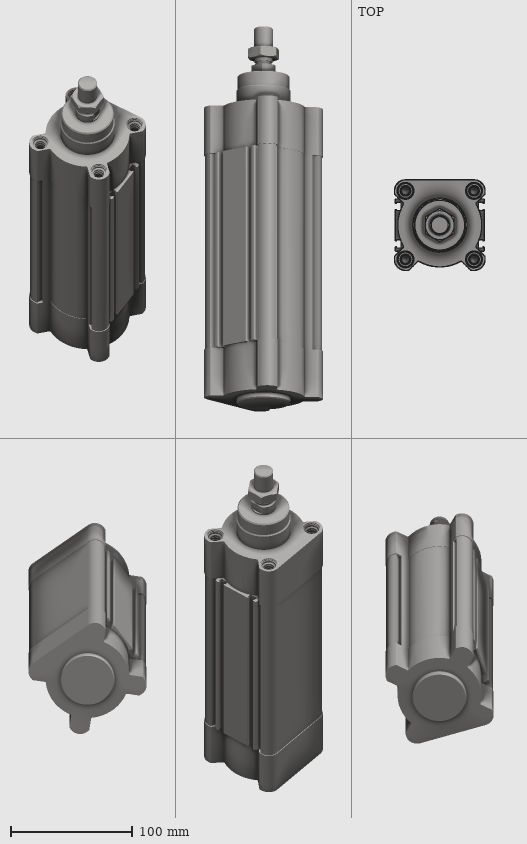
import cadquery as cq
import math

total_height = 318.0
base_boss_height = 4.5
cap_length = 40.5
lower_cap_top = base_boss_height + cap_length
cap_top = 250.0
upper_cap_bottom = cap_top - cap_length
flange_top = 265.5
collar_top = 277.5

cap_half_width = 37.5
barrel_half_width = 37.0
cap_core_radius = 34.7
barrel_core_radius = 34.5
screw_offset = 28.3
flank_step = 11.8
cap_corner = cap_half_width - flank_step
cap_corner_round = 1.5
cap_root_round = 1.0
barrel_root_round = 1.5

groove_start = 22.3
groove_floor = (24.5, 32.0)
groove_end = 26.5

rail_outer_edge = 21.5
slot_mouth_inner_edge = 13.0
slot_mouth_width = 4.8
slot_centre = slot_mouth_inner_edge + slot_mouth_width / 2
slot_width = 6.7
slot_floor = 32.0
slot_lip = 1.3
rail_round = 1.0

boss_diameter = 45.0
boss_chamfer = 1.0
collar_diameter = 43.0
collar_chamfer = 1.0

screw_steps = [(14.0, 1.0), (13.0, 2.0), (12.0, 3.8), (9.0, 5.7), (8.0, 7.5), (6.7, 16.0)]
drill_point_angle = 118

rod_diameter = 20.0
rod_flats = 17.0
flats_bottom = 278.5
shoulder_top = 286.0
undercut_diameter = 13.0
undercut_bottom = 287.0
undercut_top = 289.0
relief_diameter = 15.0
thread_diameter = 16.0
thread_chamfer = 1.0
nut_bottom = 292.0
nut_height = 8.5
nut_flats = 24.0
nut_face_angle = 30


def cylinder(diameter, bottom, top):
    return cq.Workplane().workplane(offset=bottom).circle(diameter / 2).extrude(top - bottom)


def mirrored_spots(x, y):
    """The spot and its mirror images about the X and Y axes."""
    return [(sx * x, sy * y) for sx in (-1, 1) for sy in (-1, 1)]


def round_upright_edges(body, spots, radius):
    """Fillet the vertical edges that stand at the given XY spots."""
    reach = 0.15
    low = -total_height
    high = total_height
    selector = None
    for x, y in spots:
        near = cq.selectors.BoxSelector((x - reach, y - reach, low), (x + reach, y + reach, high))
        selector = near if selector is None else selector + near
    return body.edges(selector).edges("|Z").fillet(radius)


def corner_lobe(flank, half_width, length):
    """One lobe from the centre to the (-X, -Y) screw; flank lists its lower side outward."""
    arc_middle = -screw_offset - (half_width - screw_offset) * math.sqrt(0.5)
    other_flank = [(y, x) for x, y in reversed(flank)]
    return (
        cq.Workplane().moveTo(0, 0)
        .polyline(flank, includeCurrent=True)
        .lineTo(-screw_offset, -half_width)
        .threePointArc((arc_middle, arc_middle), (-half_width, -screw_offset))
        .polyline(other_flank, includeCurrent=True)
        .close().extrude(length)
    )


def lobed_body(flank, half_width, core_radius, root_round, length):
    """Round core with four corner lobes and rounded roots between them."""
    lobe = corner_lobe(flank, half_width, length)
    pair = lobe.union(lobe.mirror("YZ"))
    body = cylinder(2 * core_radius, 0, length).union(pair).union(pair.mirror("XZ"))
    root = (math.sqrt(2 * core_radius**2 - flank_step**2) - flank_step) / 2
    roots = mirrored_spots(root, root + flank_step) + mirrored_spots(root + flank_step, root)
    return round_upright_edges(body, roots, root_round)


def flat_back(half_width, length):
    """Filling that makes the +Y side flat between its two screws."""
    return cq.Workplane().box(2 * screw_offset, half_width, length, centered=(True, False, False))


def make_cap():
    flank = [(0, -flank_step), (-cap_corner, -cap_half_width)]
    cap = lobed_body(flank, cap_half_width, cap_core_radius, cap_root_round, cap_length)
    corners = mirrored_spots(cap_corner, cap_half_width) + mirrored_spots(cap_half_width, cap_corner)
    cap = round_upright_edges(cap, corners, cap_corner_round)
    return cap.union(flat_back(cap_half_width, cap_length))


def make_barrel():
    length = upper_cap_bottom - lower_cap_top
    flank = [
        (0, -flank_step),
        (-groove_start, -groove_start - flank_step),
        (-groove_floor[0], -groove_floor[1]),
        (-groove_end, -barrel_half_width),
    ]
    barrel = lobed_body(flank, barrel_half_width, barrel_core_radius, barrel_root_round, length)
    barrel = barrel.union(flat_back(barrel_half_width, length))
    rails = cq.Workplane().box(
        2 * barrel_half_width, 2 * rail_outer_edge, length, centered=(True, True, False)
    )
    return cut_sensor_slots(barrel.union(rails), length)


def cut_sensor_slots(barrel, length):
    """T-shaped slots, two on each X side, with rounded rail edges."""
    mouth_depth = barrel_half_width - slot_floor
    chamber_depth = mouth_depth - slot_lip
    mouth = cq.Workplane().box(mouth_depth, slot_mouth_width, length, centered=(False, True, False))
    chamber = cq.Workplane().box(chamber_depth, slot_width, length, centered=(False, True, False))
    right_slot = mouth.union(chamber).translate((slot_floor, 0, 0))
    for slot in (right_slot, right_slot.mirror("YZ")):
        for side in (-1, 1):
            barrel = barrel.cut(slot.translate((0, side * slot_centre, 0)))
    half_mouth = slot_mouth_width / 2
    for y in (rail_outer_edge, slot_centre - half_mouth, slot_centre + half_mouth):
        barrel = round_upright_edges(barrel, mirrored_spots(barrel_half_width, y), rail_round)
    return barrel


def screw_recess():
    """Stepped socket of a tie screw, ending in a drill point."""
    profile = [(0, cap_top)]
    step_top = cap_top
    for diameter, depth in screw_steps:
        profile.append((diameter / 2, step_top))
        step_top = cap_top - depth
        profile.append((diameter / 2, step_top))
    tip_radius = screw_steps[-1][0] / 2
    tip_drop = tip_radius / math.tan(math.radians(drill_point_angle / 2))
    profile.append((0, step_top - tip_drop))
    return cq.Workplane("XZ").polyline(profile).close().revolve(360, (0, 0), (0, 1))


def make_housing():
    cap = make_cap()
    housing = cap.translate((0, 0, base_boss_height))
    housing = housing.union(make_barrel().translate((0, 0, lower_cap_top)))
    housing = housing.union(cap.translate((0, 0, upper_cap_bottom)))
    housing = housing.union(
        cylinder(boss_diameter, 0, lower_cap_top).faces("<Z").chamfer(boss_chamfer)
    )
    housing = housing.union(
        cylinder(boss_diameter, cap_top, flange_top).faces(">Z").chamfer(boss_chamfer)
    )
    housing = housing.union(
        cylinder(collar_diameter, cap_top, collar_top).faces(">Z").chamfer(collar_chamfer)
    )
    recess = screw_recess()
    for x, y in mirrored_spots(screw_offset, screw_offset):
        housing = housing.cut(recess.translate((x, y, 0)))
    return housing.cut(cylinder(rod_diameter, cap_top, collar_top))


def make_rod():
    rod = cylinder(rod_diameter, cap_top, shoulder_top)
    flat_depth = (rod_diameter - rod_flats) / 2
    for side in (-1, 1):
        flat = cq.Workplane().box(
            2 * flat_depth, rod_diameter, shoulder_top - flats_bottom, centered=(True, True, False)
        )
        rod = rod.cut(flat.translate((side * rod_diameter / 2, 0, flats_bottom)))
    rod = rod.union(cylinder(relief_diameter, shoulder_top, undercut_bottom))
    rod = rod.union(cylinder(undercut_diameter, undercut_bottom, undercut_top))
    rod = rod.union(cylinder(relief_diameter, undercut_top, nut_bottom))
    return rod.union(
        cylinder(thread_diameter, nut_bottom, total_height).faces(">Z").chamfer(thread_chamfer)
    )


def make_nut():
    corner_radius = nut_flats / math.sqrt(3)
    bevel_drop = (corner_radius - nut_flats / 2) * math.tan(math.radians(nut_face_angle))
    sides = 6
    half_side_angle = 180 / sides
    hexagon = (
        cq.Workplane().polygon(sides, 2 * corner_radius).extrude(nut_height)
        .rotate((0, 0, 0), (0, 0, 1), half_side_angle)
    )
    bevel = (
        cq.Workplane().circle(corner_radius).extrude(nut_height).faces("<Z or >Z")
        .chamfer(bevel_drop, corner_radius - nut_flats / 2)
    )
    nut = hexagon.intersect(bevel).translate((0, 0, nut_bottom))
    return nut.cut(cylinder(thread_diameter, nut_bottom, nut_bottom + nut_height))


housing = make_housing()
rod = make_rod()
nut = make_nut()

result = cq.Compound.makeCompound([housing.val(), rod.val(), nut.val()])